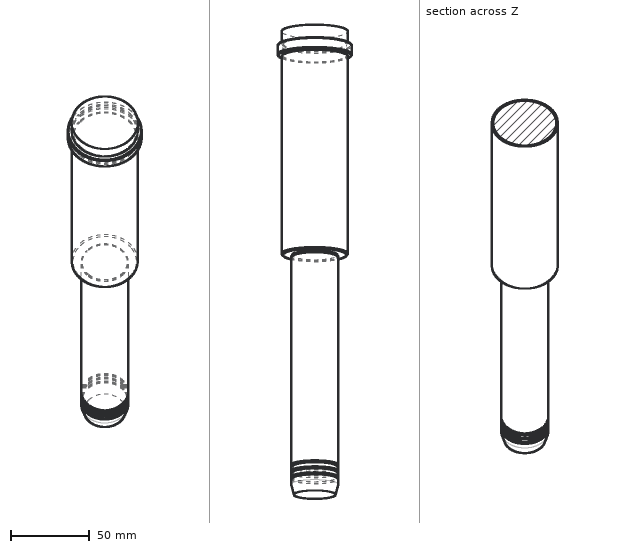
import cadquery as cq
import math

total_length = 300.0

body_radius = 21.0
body_length = 145.0
body_chamfer = 1.0

collar_diameter = 47.0
collar_top_depth = 8.7
collar_height = 7.0
collar_chamfer = 0.5

seat_clearance = 0.5
seat_depth = 1.0

shaft_radius = 15.0
tip_length = 6.5
tip_angle = 15.0

groove_count = 3
groove_width = 1.2
groove_depth = 0.5
groove_pitch = 4.0
first_groove_height = 10.8


def cylinder(radius, bottom, top):
    """Solid cylinder on the Z axis between two heights."""
    return cq.Workplane("XY").workplane(offset=bottom).circle(radius).extrude(top - bottom)


def make_shaft(top):
    """Shaft with a conical tip at its lower end."""
    tip_radius = shaft_radius - tip_length * math.tan(math.radians(tip_angle))
    profile = [(0, 0), (tip_radius, 0), (shaft_radius, tip_length), (shaft_radius, top), (0, top)]
    return cq.Workplane("XZ").polyline(profile).close().revolve(360, (0, 0, 0), (0, 1, 0))


def make_body(bottom):
    """Upper body with its lower rim chamfered."""
    return cylinder(body_radius, bottom, total_length).faces("<Z").chamfer(body_chamfer)


def make_collar():
    """Collar ring with both rims chamfered."""
    top = total_length - collar_top_depth
    collar = cylinder(collar_diameter / 2, top - collar_height, top)
    return collar.faces("<Z or >Z").edges().chamfer(collar_chamfer)


def make_groove(radius, depth, bottom, top):
    """Ring to remove from a cylinder of the given radius."""
    return cylinder(radius, bottom, top).cut(cylinder(radius - depth, bottom, top))


body_bottom = total_length - body_length
result = make_shaft(body_bottom).union(make_body(body_bottom))

seat_top = total_length - collar_top_depth + seat_clearance
seat_bottom = seat_top - collar_height - 2 * seat_clearance
result = result.cut(make_groove(body_radius, seat_depth, seat_bottom, seat_top))
result = result.union(make_collar())

groove_bottoms = [first_groove_height - groove_width / 2 + i * groove_pitch for i in range(groove_count)]
groove_bottoms.append(body_bottom - groove_width)
for bottom in groove_bottoms:
    result = result.cut(make_groove(shaft_radius, groove_depth, bottom, bottom + groove_width))